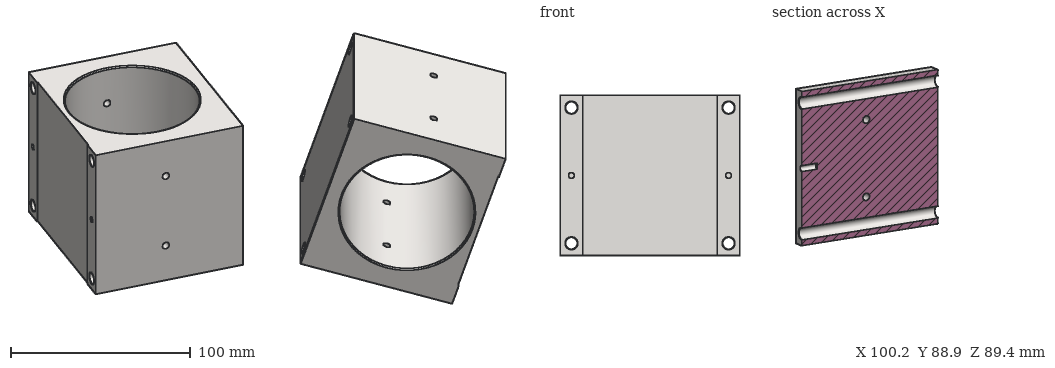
import cadquery as cq

width = 100.2
depth = 88.9
height = 89.4

bore_diameter = 75.0
bore_centre_y = 42.1
bore_chamfer = 0.8

relief_width = 75.0
relief_depth = 0.5

strip_hole_x = (width + relief_width) / 4
mount_hole_diameter = 6.6
mount_hole_chamfer = 0.25
mount_hole_z = 37.8
pin_hole_diameter = 3.2
pin_hole_depth = 10.0

side_hole_diameter = 4.0
side_hole_z = height / 4

rear_chamfer = 0.5


def hole_along_y(x, z, diameter, length):
    """Cylinder running rearwards from the front face."""
    return cq.Workplane("XZ").center(x, z).circle(diameter / 2).extrude(-length)


def chamfered_hole(x, z):
    """Mounting hole through the full depth, with its front rim broken by a 45 degree chamfer."""
    hole = hole_along_y(x, z, mount_hole_diameter, depth)
    rim_radius = mount_hole_diameter / 2 + mount_hole_chamfer
    rim = cq.Workplane(
        cq.Solid.makeCone(
            rim_radius,
            mount_hole_diameter / 2,
            mount_hole_chamfer,
            pnt=cq.Vector(x, 0, z),
            dir=cq.Vector(0, 1, 0),
        )
    )
    return hole.union(rim)


body = cq.Workplane("XY").box(width, depth, height, centered=(True, False, True))
body = body.faces(">Y").edges().chamfer(rear_chamfer)

bore = (
    cq.Workplane("XY")
    .center(0, bore_centre_y)
    .circle(bore_diameter / 2)
    .extrude(height / 2, both=True)
)
body = body.cut(bore)
bore_rims = body.faces("<Z or >Z").edges("%CIRCLE")
body = bore_rims.chamfer(bore_chamfer)

relief = cq.Workplane("XY").box(relief_width, relief_depth, height, centered=(True, False, True))
body = body.cut(relief)

for x in (-strip_hole_x, strip_hole_x):
    for z in (-mount_hole_z, mount_hole_z):
        body = body.cut(chamfered_hole(x, z))
    body = body.cut(hole_along_y(x, 0, pin_hole_diameter, pin_hole_depth))

for z in (-side_hole_z, side_hole_z):
    side_hole = (
        cq.Workplane("YZ")
        .center(bore_centre_y, z)
        .circle(side_hole_diameter / 2)
        .extrude(width / 2, both=True)
    )
    body = body.cut(side_hole)

result = body